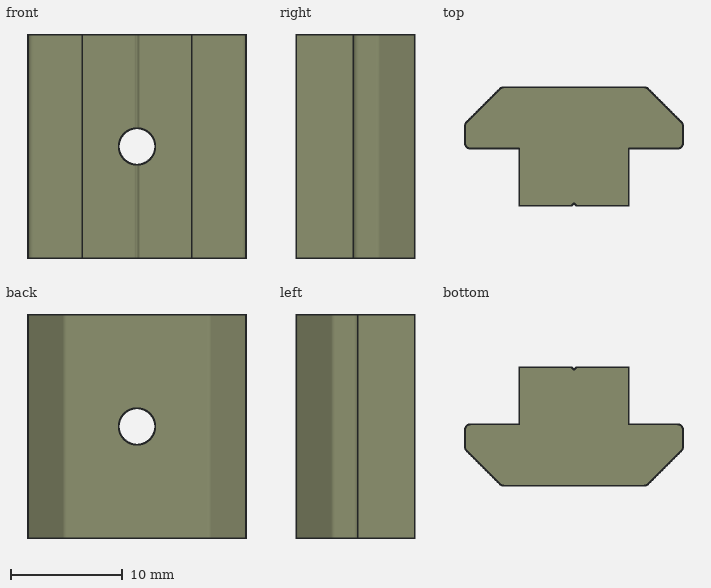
import cadquery as cq

width = 19.5
depth = 10.6
length = 20.0

head_depth = 5.5
stem_width = 9.8
bevel = 3.28
corner_radius = 0.5

groove_width = 0.45
groove_depth = groove_width / 2
groove_lip_radius = 0.1
groove_root_radius = 0.05
hole_diameter = 3.25

half_width = width / 2
front_y = -depth / 2
back_y = depth / 2
shoulder_y = back_y - head_depth
bevel_y = back_y - bevel
bevel_x = half_width - bevel


def rounded_head():
    """Wide beveled head with its six long edges rounded."""
    outline = [
        (-half_width, shoulder_y),
        (half_width, shoulder_y),
        (half_width, bevel_y),
        (bevel_x, back_y),
        (-bevel_x, back_y),
        (-half_width, bevel_y),
    ]
    head = cq.Workplane("XY").polyline(outline).close().extrude(length)
    return head.edges("|Z").fillet(corner_radius)


def grooved_stem():
    """Narrow block with a softened 90 degree V groove along its front face."""
    half_stem = stem_width / 2
    root = (0, front_y + groove_depth)
    lips = [(-groove_width / 2, front_y), (groove_width / 2, front_y)]
    outline = [
        (-half_stem, shoulder_y),
        (-half_stem, front_y),
        lips[0],
        root,
        lips[1],
        (half_stem, front_y),
        (half_stem, shoulder_y),
    ]
    block = cq.Workplane("XY").polyline(outline).close().extrude(length)
    for lip in lips:
        block = round_edge_at(block, lip, groove_lip_radius)
    return round_edge_at(block, root, groove_root_radius)


def round_edge_at(block, corner, radius):
    """Round the long edge that passes through a corner of the profile."""
    edge_middle = (corner[0], corner[1], length / 2)
    return block.edges(cq.NearestToPointSelector(edge_middle)).fillet(radius)


def through_hole():
    """Round hole through the full depth at mid length."""
    return (
        cq.Workplane("XZ", origin=(0, back_y, length / 2))
        .circle(hole_diameter / 2)
        .extrude(depth)
    )


result = rounded_head().union(grooved_stem()).cut(through_hole())